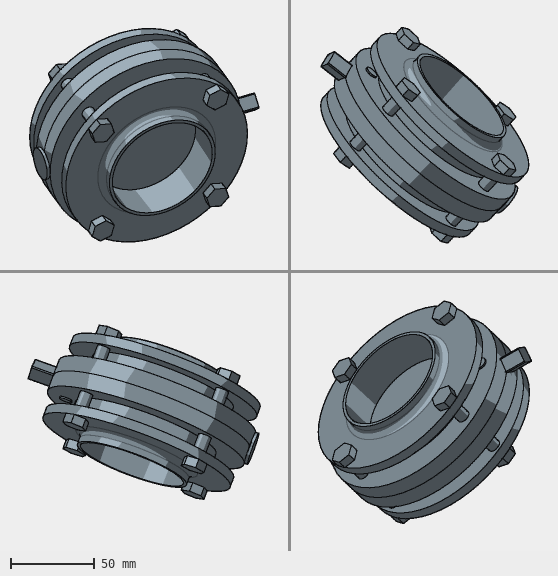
import cadquery as cq
import math


face_to_face = 68.0
bore_radius = 33.0
spigot_radius = 35.0
spigot_length = 8.0
spigot_fillet = 4.0
flange_radius = 60.0
flange_thickness = 6.0
hub_radius = 45.0
ring_radius = 63.0
ring_width = 20.0

bolt_count = 4
bolt_diameter = 8.0
head_across_flats = 13.0
head_height = 5.5
bolt_circle_radius = flange_radius - head_across_flats / 2

boss_offset = 51.0
boss_diameter = 7.9
boss_height = 1.0

disc_thickness = ring_width
shaft_length = 141.5
shaft_diameter = 12.6
drive_across_flats = 9.6
drive_length = 17.0
cap_diameter = ring_width
cap_thickness = 2.0

end_face = face_to_face / 2
flange_outer = end_face - spigot_length
flange_inner = flange_outer - flange_thickness
ring_face = ring_width / 2

cap_end = ring_radius + cap_thickness
drive_end = shaft_length - cap_end


def make_turned_shell():
    """Revolve ring, hub, flange and spigot of the +X half about the pipe axis."""
    arc_middle = spigot_fillet * (1 - math.sqrt(0.5))
    return (
        cq.Workplane("XZ")
        .moveTo(0, bore_radius)
        .lineTo(0, ring_radius)
        .lineTo(ring_face, ring_radius)
        .lineTo(ring_face, hub_radius)
        .lineTo(flange_inner, hub_radius)
        .lineTo(flange_inner, flange_radius)
        .lineTo(flange_outer, flange_radius)
        .lineTo(flange_outer, spigot_radius + spigot_fillet)
        .threePointArc(
            (flange_outer + arc_middle, spigot_radius + arc_middle),
            (flange_outer + spigot_fillet, spigot_radius),
        )
        .lineTo(end_face, spigot_radius)
        .lineTo(end_face, bore_radius)
        .close()
        .revolve(360, (0, 0, 0), (1, 0, 0))
    )


def make_bolt(angle):
    """Bolt shank from ring to flange, with a hex head whose flat faces outward."""
    shank = (
        cq.Workplane("YZ", origin=(ring_face, 0, 0))
        .center(bolt_circle_radius, 0)
        .circle(bolt_diameter / 2)
        .extrude(flange_outer - ring_face)
    )
    head = (
        cq.Workplane("YZ", origin=(flange_outer, bolt_circle_radius, 0))
        .polygon(6, head_across_flats, circumscribed=True)
        .extrude(head_height)
    )
    return shank.union(head).rotate((0, 0, 0), (1, 0, 0), angle)


def make_shaft():
    """Round shaft ending in a square drive; the same shape cuts the shaft hole."""
    round_shaft = (
        cq.Workplane("XZ", origin=(0, drive_end, 0))
        .circle(shaft_diameter / 2)
        .extrude(shaft_length)
    )
    drive_space = (
        cq.Workplane("XZ", origin=(0, drive_end, 0))
        .circle(shaft_diameter)
        .extrude(drive_length)
    )
    drive_square = (
        cq.Workplane("XZ", origin=(0, drive_end, 0))
        .transformed(rotate=(0, 0, 45))
        .rect(drive_across_flats, drive_across_flats)
        .extrude(drive_length)
    )
    return round_shaft.cut(drive_space.cut(drive_square))


def make_housing_half():
    """Housing half on the +X side with its bolts and side boss."""
    half = make_turned_shell()
    for index in range(bolt_count):
        half = half.union(make_bolt((index + 0.5) * 360 / bolt_count))
    boss = (
        cq.Workplane("YZ", origin=(ring_face, 0, 0))
        .center(boss_offset, 0)
        .circle(boss_diameter / 2)
        .extrude(boss_height)
    )
    return half.union(boss).cut(make_shaft())


def make_disc_and_shaft():
    """Disc filling the bore, on a shaft with an end cap and a square drive."""
    disc = (
        cq.Workplane("YZ", origin=(-disc_thickness / 2, 0, 0))
        .circle(bore_radius)
        .extrude(disc_thickness)
    )
    cap = (
        cq.Workplane("XZ", origin=(0, -ring_radius, 0))
        .circle(cap_diameter / 2)
        .extrude(cap_thickness)
    )
    return make_shaft().union(disc).union(cap)


right_half = make_housing_half()
left_half = right_half.mirror("YZ")
disc_and_shaft = make_disc_and_shaft()

result = cq.Compound.makeCompound([right_half.val(), left_half.val(), disc_and_shaft.val()])